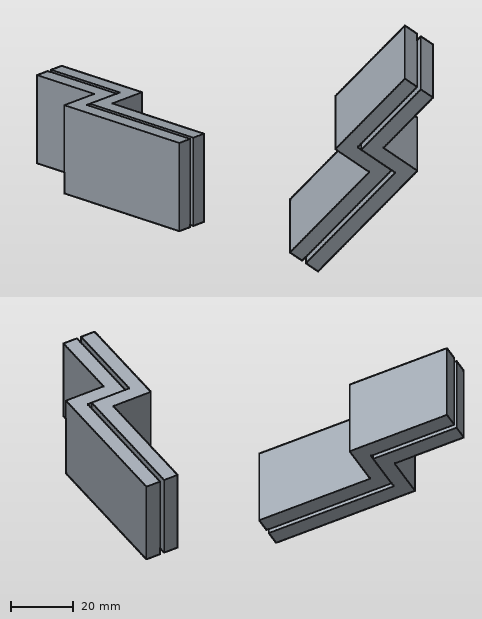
import cadquery as cq

length = 75.0
depth = 25.5
height = 30.0

thickness = 5.0
flange_gap = 1.5
front_web_x = 25.0

rear_web_x = front_web_x + thickness
rear_plate_y = thickness + flange_gap
plate_depth = depth - rear_plate_y


def z_plate(web_x, front_y):
    """Upright Z plate: left flange at the back, web at web_x, right flange at front_y."""
    back_y = front_y + plate_depth
    outline = [
        (0, back_y),
        (web_x + thickness, back_y),
        (web_x + thickness, front_y + thickness),
        (length, front_y + thickness),
        (length, front_y),
        (web_x, front_y),
        (web_x, back_y - thickness),
        (0, back_y - thickness),
    ]
    return cq.Workplane("XY").polyline(outline).close().extrude(height)


front_plate = z_plate(front_web_x, 0)
rear_plate = z_plate(rear_web_x, rear_plate_y)

result = cq.Compound.makeCompound([front_plate.val(), rear_plate.val()])